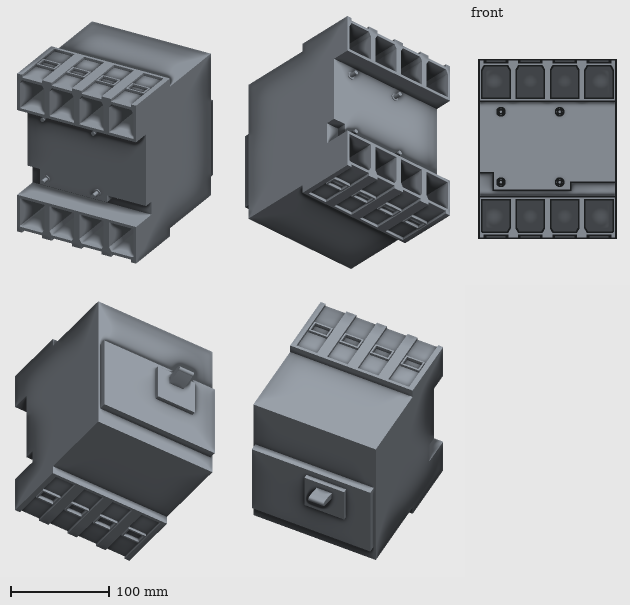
import cadquery as cq


WIDTH = 140.0
HEIGHT = 182.0
DEPTH = 183.5
POLES = 4
PITCH = WIDTH / POLES
POLE_CENTRES = [(i - (POLES - 1) / 2) * PITCH for i in range(POLES)]
WALL = 3.1

BASE_DEPTH = 68.8
LOBE_HEIGHT = 42.2
LOBE_INNER_Z = HEIGHT / 2 - LOBE_HEIGHT
MOUNT_FACE_Y = 20.4
RELIEF_Y = 31.4
RELIEF_LEFT_X = -55.0
RELIEF_RIGHT_X = 23.9
RELIEF_LEFT_Z = -24.4
RELIEF_MIDDLE_Z = -41.8
RELIEF_RIGHT_Z = -34.0

POCKET_WIDTH = PITCH - 2 * WALL
POCKET_HEIGHT = LOBE_HEIGHT - 3 * WALL
POCKET_DEPTH = BASE_DEPTH - WALL
CHANNEL_WIDTH = 23.7
POCKET_CHAMFER_X = (POCKET_WIDTH - CHANNEL_WIDTH) / 2
POCKET_CHAMFER_Z = 4.4
SMALL_CHAMFER = 1.0

RIM_WIDTH = 21.3
RIM_FRONT_Y = 27.5
RIM_BACK_Y = 41.0
RIM_WALL = 1.7
RAMP_TOP_Y = 36.1
RAMP_FOOT_Y = 34.7
RAMP_DROP = RAMP_TOP_Y - RAMP_FOOT_Y

TOGGLE_X = -PITCH / 2

STUD_SPACING_X = 59.8
STUD_SPACING_Z = 71.7
STUD_CENTRE_Z = 2.0
STUD_RADIUS = 2.2
STUD_LENGTH = 8.6
WASHER_RADIUS = 4.0
WASHER_THICKNESS = 1.0

BREAKER_HEIGHT = 163.3
BREAKER_FRONT_Y = 151.7
SHIELD_THICKNESS = 1.7
SHIELD_LIP_THICKNESS = 2.2
SHIELD_LIP_Z = 63.5
CASE_HALF_HEIGHT = BREAKER_HEIGHT / 2 - SHIELD_THICKNESS
SHOULDER_Y = BREAKER_FRONT_Y - SHIELD_LIP_THICKNESS

BEZEL_WIDTH = 135.4
BEZEL_TOP_Z = 23.9
BEZEL_BOTTOM_Z = -62.8
BEZEL_Y = 159.6
PLATE_WIDTH = 45.3
PLATE_TOP_Z = 16.0
PLATE_BOTTOM_Z = -24.4
PLATE_Y = 164.2
TOGGLE_WIDTH = 17.2
TOGGLE_ROOT_BOTTOM = (PLATE_Y, 0.2)
TOGGLE_ROOT_TOP = (PLATE_Y, 7.9)
TOGGLE_BEND = (175.5, 10.3)
TOGGLE_CREST = (178.3, 10.6)
TOGGLE_TIP_TOP = (181.1, 10.5)
TOGGLE_TIP = (DEPTH, 7.9)
TOGGLE_TIP_BOTTOM = (181.1, 5.3)
TOGGLE_BELLY = (173.2, 2.5)


def block(x0, x1, y0, y1, z0, z1):
    """A box between two corners."""
    return cq.Workplane("XY").box(x1 - x0, y1 - y0, z1 - z0, centered=False).translate((x0, y0, z0))


def across(outline, width, centre_x=0):
    """Extrude a (Y, Z) outline along X, centred on centre_x."""
    return outline.extrude(width / 2, both=True).translate((centre_x, 0, 0))


def mirrored(shape):
    """The shape turned upside down about the middle plane Z = 0."""
    return shape.mirror("XY")


def base_block():
    """Slab with two lobes, cut back between them, with a stepped relief above the lower lobe."""
    half_width = WIDTH / 2
    half_height = HEIGHT / 2
    body = block(-half_width, half_width, 0, BASE_DEPTH, -half_height, half_height)
    body = body.cut(block(-half_width, half_width, 0, MOUNT_FACE_Y, -LOBE_INNER_Z, LOBE_INNER_Z))
    steps = (
        (-half_width, RELIEF_LEFT_X, RELIEF_LEFT_Z),
        (RELIEF_LEFT_X, RELIEF_RIGHT_X, RELIEF_MIDDLE_Z),
        (RELIEF_RIGHT_X, half_width, RELIEF_RIGHT_Z),
    )
    for x0, x1, top_z in steps:
        body = body.cut(block(x0, x1, MOUNT_FACE_Y, RELIEF_Y, -LOBE_INNER_Z, top_z))
    return body


def pocket(centre_x, left_chamfer, right_chamfer):
    """Upper-lobe pocket; each chamfer is its (X, Z) size at an outer corner."""
    left = centre_x - POCKET_WIDTH / 2
    right = centre_x + POCKET_WIDTH / 2
    inner_z = LOBE_INNER_Z + WALL
    outer_z = inner_z + POCKET_HEIGHT
    outline = cq.Workplane("XZ").polyline([
        (left, inner_z),
        (right, inner_z),
        (right, outer_z - right_chamfer[1]),
        (right - right_chamfer[0], outer_z),
        (left + left_chamfer[0], outer_z),
        (left, outer_z - left_chamfer[1]),
    ]).close()
    return outline.extrude(-POCKET_DEPTH)


def channel(centre_x):
    """Shallow channel in the upper lobe's outer face, open toward the open side of the base."""
    half = CHANNEL_WIDTH / 2
    return block(centre_x - half, centre_x + half, 0, BASE_DEPTH - WALL, HEIGHT / 2 - WALL, HEIGHT / 2)


def rim(centre_x):
    """Block on the upper channel's floor, as high as the channel is deep."""
    half = RIM_WIDTH / 2
    return block(
        centre_x - half, centre_x + half, RIM_FRONT_Y, RIM_BACK_Y, HEIGHT / 2 - WALL, HEIGHT / 2
    )


def window(centre_x):
    """Opening inside the rim: an upper floor, a ramp and a lower floor."""
    floor_z = HEIGHT / 2 - WALL
    low_y = RIM_FRONT_Y + RIM_WALL
    high_y = RIM_BACK_Y - RIM_WALL
    outline = cq.Workplane("YZ").polyline([
        (low_y, HEIGHT / 2),
        (low_y, floor_z - RAMP_DROP),
        (RAMP_FOOT_Y, floor_z - RAMP_DROP),
        (RAMP_TOP_Y, floor_z),
        (high_y, floor_z),
        (high_y, HEIGHT / 2),
    ]).close()
    return across(outline, RIM_WIDTH - 2 * RIM_WALL, centre_x)


def stud(centre_x, centre_z):
    """Stud with its washer, standing on the mounting face and pointing toward -Y."""
    face = cq.Workplane("XZ", origin=(centre_x, MOUNT_FACE_Y, centre_z))
    return face.circle(WASHER_RADIUS).extrude(WASHER_THICKNESS).union(
        face.circle(STUD_RADIUS).extrude(STUD_LENGTH)
    )


def make_base():
    body = base_block()
    large = (POCKET_CHAMFER_X, POCKET_CHAMFER_Z)
    small = (SMALL_CHAMFER, SMALL_CHAMFER)
    for centre_x in POLE_CENTRES:
        lower_left = small if centre_x == POLE_CENTRES[0] else large
        lower_right = small if centre_x == POLE_CENTRES[-1] else large
        body = body.cut(pocket(centre_x, large, large))
        body = body.cut(mirrored(pocket(centre_x, lower_left, lower_right)))
        body = body.cut(channel(centre_x)).cut(mirrored(channel(centre_x)))
        body = body.union(rim(centre_x)).union(mirrored(rim(centre_x)))
        body = body.cut(window(centre_x)).cut(mirrored(window(centre_x)))
    for side_x in (-1, 1):
        for side_z in (-1, 1):
            stud_x = TOGGLE_X + side_x * STUD_SPACING_X / 2
            stud_z = STUD_CENTRE_Z + side_z * STUD_SPACING_Z / 2
            body = body.union(stud(stud_x, stud_z))
    return body


def toggle():
    """Tapered lever with a rounded tip, tilted upward out of the front plate."""
    outline = (
        cq.Workplane("YZ")
        .moveTo(*TOGGLE_ROOT_BOTTOM)
        .lineTo(*TOGGLE_ROOT_TOP)
        .lineTo(*TOGGLE_BEND)
        .threePointArc(TOGGLE_CREST, TOGGLE_TIP_TOP)
        .threePointArc(TOGGLE_TIP, TOGGLE_TIP_BOTTOM)
        .threePointArc(TOGGLE_BELLY, TOGGLE_ROOT_BOTTOM)
        .close()
    )
    return across(outline, TOGGLE_WIDTH, TOGGLE_X)


def make_breaker():
    """Case with shoulders for the shields' lips, then the bezel, the front plate and the toggle."""
    half_width = WIDTH / 2
    case = block(-half_width, half_width, BASE_DEPTH, SHOULDER_Y, -CASE_HALF_HEIGHT, CASE_HALF_HEIGHT)
    front = block(-half_width, half_width, SHOULDER_Y, BREAKER_FRONT_Y, -SHIELD_LIP_Z, SHIELD_LIP_Z)
    bezel = block(
        -BEZEL_WIDTH / 2, BEZEL_WIDTH / 2, BREAKER_FRONT_Y, BEZEL_Y, BEZEL_BOTTOM_Z, BEZEL_TOP_Z
    )
    plate = block(
        TOGGLE_X - PLATE_WIDTH / 2, TOGGLE_X + PLATE_WIDTH / 2, BEZEL_Y, PLATE_Y, PLATE_BOTTOM_Z, PLATE_TOP_Z
    )
    return case.union(front).union(bezel).union(plate).union(toggle())


def make_shield():
    """L-shaped cover over the breaker's upper face, with a lip down its front."""
    outer_z = BREAKER_HEIGHT / 2
    outline = cq.Workplane("YZ").polyline([
        (BASE_DEPTH, outer_z),
        (BREAKER_FRONT_Y, outer_z),
        (BREAKER_FRONT_Y, SHIELD_LIP_Z),
        (SHOULDER_Y, SHIELD_LIP_Z),
        (SHOULDER_Y, CASE_HALF_HEIGHT),
        (BASE_DEPTH, CASE_HALF_HEIGHT),
    ]).close()
    return across(outline, WIDTH)


base = make_base()
breaker = make_breaker()
shields = [make_shield(), mirrored(make_shield())]

result = cq.Compound.makeCompound([base.val(), breaker.val(), *[shield.val() for shield in shields]])